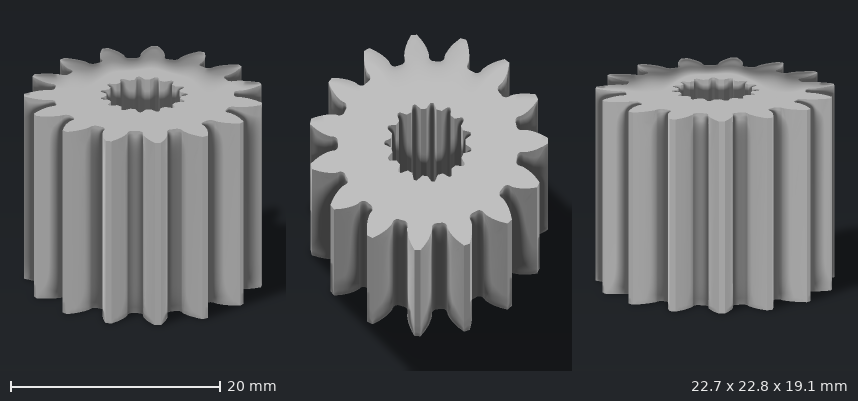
import cadquery as cq
import math

WIDTH = 19.05
EDGE_TOLERANCE = 0.002

TOOTH_COUNT = 15
FIRST_TOOTH_ANGLE = 180
TIP_DIAMETER = 22.9
TIP_RADIUS = TIP_DIAMETER / 2
PITCH_RADIUS = 9.52
ROOT_RADIUS = 8.6
ROOT_FILLET = 0.5
PRESSURE_ANGLE = 14.5
BASE_RADIUS = PITCH_RADIUS * math.cos(math.radians(PRESSURE_ANGLE))
BASE_HALF_ANGLE = 7.3
FLANK_POINTS = 6

GROOVE_COUNT = 15
FIRST_GROOVE_ANGLE = 0
BORE_RADIUS = 3.56
GROOVE_DEPTH = 0.65
GROOVE_MOUTH_WIDTH = 0.98
GROOVE_FLANK_ANGLE = 28
GROOVE_BOTTOM_FILLET = 0.2


def polar(radius, degrees):
    angle = math.radians(degrees)
    return radius * math.cos(angle), radius * math.sin(angle)


def directions(count, first_angle):
    return [first_angle + i * 360 / count for i in range(count)]


def involute_roll(radius):
    """Roll angle, in radians, at which the involute reaches this radius."""
    return math.sqrt((radius / BASE_RADIUS) ** 2 - 1)


def flank_half_angle(radius):
    """Degrees from the tooth centre line to the involute flank at this radius."""
    roll = involute_roll(radius)
    return BASE_HALF_ANGLE - math.degrees(roll - math.atan(roll))


def fillet_upright_edges(body, radius_from_axis, fillet):
    """Round the upright edges that stand at this distance from the axis."""
    edges = body.edges("|Z").filter(
        lambda edge: abs(math.hypot(edge.Center().x, edge.Center().y) - radius_from_axis) < EDGE_TOLERANCE
    )
    return body.newObject(edges.vals()).fillet(fillet)


def gear_blank():
    """Solid gear: involute flanks, radial below the base circle, flat tips, rounded root corners."""
    radius_step = (TIP_RADIUS - BASE_RADIUS) / (FLANK_POINTS - 1)
    flank_radii = [BASE_RADIUS + i * radius_step for i in range(FLANK_POINTS)]
    tip_slope = BASE_HALF_ANGLE - math.degrees(involute_roll(TIP_RADIUS))
    pitch_angle = 360 / TOOTH_COUNT

    outline = cq.Workplane("XY").moveTo(*polar(ROOT_RADIUS, FIRST_TOOTH_ANGLE - BASE_HALF_ANGLE))
    for centre in directions(TOOTH_COUNT, FIRST_TOOTH_ANGLE):
        base_start = centre - BASE_HALF_ANGLE
        base_end = centre + BASE_HALF_ANGLE
        rising = [polar(radius, centre - flank_half_angle(radius)) for radius in flank_radii]
        falling = [polar(radius, centre + flank_half_angle(radius)) for radius in reversed(flank_radii)]
        rising_ends = [polar(1, base_start), polar(1, centre - tip_slope)]
        falling_ends = [polar(-1, centre + tip_slope), polar(-1, base_end)]
        outline = (
            outline.lineTo(*polar(BASE_RADIUS, base_start))
            .spline(rising[1:], tangents=rising_ends, includeCurrent=True)
            .lineTo(*falling[0])
            .spline(falling[1:], tangents=falling_ends, includeCurrent=True)
            .lineTo(*polar(ROOT_RADIUS, base_end))
            .threePointArc(
                polar(ROOT_RADIUS, centre + pitch_angle / 2),
                polar(ROOT_RADIUS, base_start + pitch_angle),
            )
        )
    return fillet_upright_edges(outline.close().extrude(WIDTH), ROOT_RADIUS, ROOT_FILLET)


def bore_core():
    """Solid that fills the splined bore: a cylinder with rounded V-shaped ridges."""
    mouth_half = GROOVE_MOUTH_WIDTH / 2
    bottom_half = mouth_half - GROOVE_DEPTH * math.tan(math.radians(GROOVE_FLANK_ANGLE))
    mouth_x = math.sqrt(BORE_RADIUS**2 - mouth_half**2)
    bottom_x = BORE_RADIUS + GROOVE_DEPTH
    ridge = (
        cq.Workplane("XY")
        .polyline([
            (0, 0),
            (mouth_x, -mouth_half),
            (bottom_x, -bottom_half),
            (bottom_x, bottom_half),
            (mouth_x, mouth_half),
        ])
        .close()
        .extrude(WIDTH)
    )
    ridge = fillet_upright_edges(ridge, math.hypot(bottom_x, bottom_half), GROOVE_BOTTOM_FILLET)

    core = cq.Workplane("XY").circle(BORE_RADIUS).extrude(WIDTH)
    for angle in directions(GROOVE_COUNT, FIRST_GROOVE_ANGLE):
        core = core.union(ridge.rotate((0, 0, 0), (0, 0, 1), angle))
    return core


result = gear_blank().cut(bore_core())